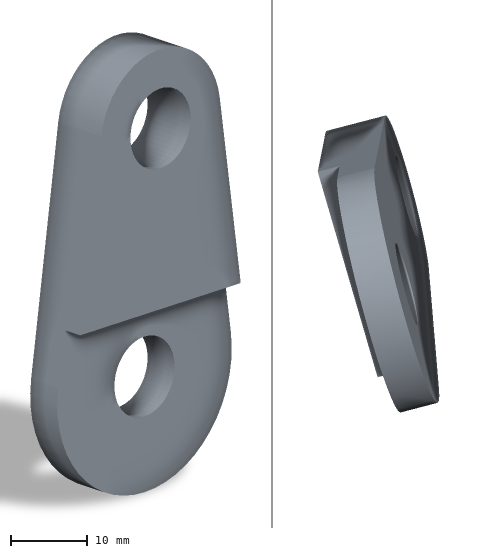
import cadquery as cq
import math

thickness = 8.0
thin_thickness = 5.0
large_radius = 16.0
small_radius = 10.95
center_distance = 35.0
hole_diameter = 11.0
step_above_center = 10.05

lower_z = large_radius
upper_z = lower_z + center_distance
step_z = lower_z + step_above_center

flank_angle = math.asin((large_radius - small_radius) / center_distance)


def tangent_point(center_z, radius):
    """Point where the +Y flank meets an end arc, as (y, z)."""
    return radius * math.cos(flank_angle), center_z + radius * math.sin(flank_angle)


def link_plate():
    """Full-thickness tapered plate with two rounded ends."""
    lower_y, lower_tangent_z = tangent_point(lower_z, large_radius)
    upper_y, upper_tangent_z = tangent_point(upper_z, small_radius)
    return (
        cq.Workplane("YZ")
        .moveTo(lower_y, lower_tangent_z)
        .lineTo(upper_y, upper_tangent_z)
        .threePointArc((0, upper_z + small_radius), (-upper_y, upper_tangent_z))
        .lineTo(-lower_y, lower_tangent_z)
        .threePointArc((0, lower_z - large_radius), (lower_y, lower_tangent_z))
        .close()
        .extrude(thickness)
    )


def step_cut():
    """Block removed from the +X face over the whole large end."""
    return cq.Workplane("XY").box(
        thickness - thin_thickness, 2 * large_radius, step_z, centered=(False, True, False)
    ).translate((thin_thickness, 0, 0))


def through_holes():
    """One hole concentric with each rounded end."""
    return (
        cq.Workplane("YZ")
        .pushPoints([(0, lower_z), (0, upper_z)])
        .circle(hole_diameter / 2)
        .extrude(thickness)
    )


result = link_plate().cut(step_cut()).cut(through_holes())